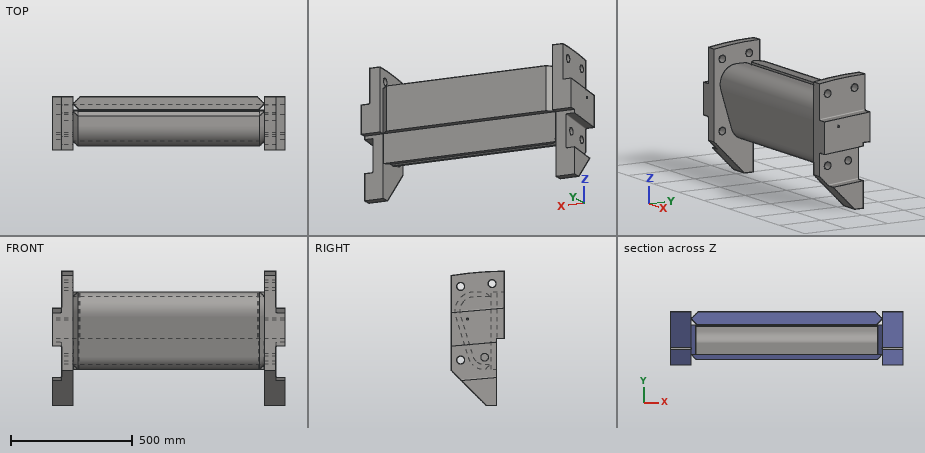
import cadquery as cq
import math


LENGTH = 959.0
DEPTH = 220.0
HEIGHT = 554.0
PLATE_THICKNESS = 85.0
PAD_HEIGHT = 38.0
FRONT_TOP_Z = 536.0
FRONT_BOTTOM_Z = 146.0
NOTCH_DEPTH = 32.0
NOTCH_Z = 276.0
TOP_ARCH_RADIUS = 1438.5
PAD_TILT = 5.0
UPPER_PAD_TOP_Z = 402.0
UPPER_PAD_BOTTOM_Z = 264.0
LOWER_PAD_TOP_Z = 119.0
PAD_FILLET = 5.0
BOLT_HOLE_DIAMETER = 32.0
BOLT_HOLES = [(-51.0, 502.5), (-180.0, 491.0), (-81.5, 199.0), (-180.0, 188.0)]
VENT_DIAMETER = 8.0
VENT_HOLE = (-152.0, 357.0)

SPAN = LENGTH - 2 * PLATE_THICKNESS
TOP_Z = 469.0
BOTTOM_Z = 149.0
BAR_REAR_BEVEL = 30.0
BAR_FRONT_BEVEL = 25.0
BAR_DEPTH = BAR_REAR_BEVEL + BAR_FRONT_BEVEL

SHELL_REAR_Y = -59.0
SHELL_THICKNESS = 20.0
UPPER_RADIUS = 80.0
UPPER_CENTRE_Y = -124.0
LOWER_RADIUS = 70.0
FACE_TILT = 17.0
RIB_THICKNESS = SHELL_THICKNESS


def plate_outline():
    """Side outline of an end plate, drawn in the YZ plane."""
    chord_y = -DEPTH / 2
    chord_z = (HEIGHT + FRONT_TOP_Z) / 2
    chord = math.hypot(DEPTH, HEIGHT - FRONT_TOP_Z)
    rise = TOP_ARCH_RADIUS - math.sqrt(TOP_ARCH_RADIUS**2 - (chord / 2) ** 2)
    return (
        cq.Workplane("YZ")
        .moveTo(0, HEIGHT)
        .threePointArc((chord_y, chord_z + rise), (-DEPTH, FRONT_TOP_Z))
        .lineTo(-DEPTH, FRONT_BOTTOM_Z)
        .lineTo(-DEPTH + FRONT_BOTTOM_Z, 0)
        .lineTo(-NOTCH_DEPTH, 0)
        .lineTo(-NOTCH_DEPTH, NOTCH_Z)
        .lineTo(0, NOTCH_Z)
        .close()
    )


def recess_cutter(bottom_z, top_z, filleted_edges):
    """Tilted block that lowers the outer face, with rounded inner edges along the pads."""
    block = (
        cq.Workplane("XY")
        .box(2 * PAD_HEIGHT, 4 * DEPTH, top_z - bottom_z)
        .edges(filleted_edges)
        .fillet(PAD_FILLET)
        .translate((0, 0, (top_z - bottom_z) / 2))
        .rotate((0, 0, 0), (1, 0, 0), PAD_TILT)
    )
    return block.translate((0, 0, bottom_z))


def make_left_plate():
    """End plate at -X, modelled with its outer face on X = 0 and then moved into place."""
    plate = plate_outline().extrude(PLATE_THICKNESS)
    plate = plate.cut(recess_cutter(UPPER_PAD_TOP_Z, 2 * HEIGHT, "|Y and >X and <Z"))
    plate = plate.cut(recess_cutter(LOWER_PAD_TOP_Z, UPPER_PAD_BOTTOM_Z, "|Y and >X"))
    bolt_holes = (
        cq.Workplane("YZ").pushPoints(BOLT_HOLES).circle(BOLT_HOLE_DIAMETER / 2).extrude(PLATE_THICKNESS)
    )
    vent = cq.Workplane("YZ").pushPoints([VENT_HOLE]).circle(VENT_DIAMETER / 2).extrude(PLATE_THICKNESS)
    return plate.cut(bolt_holes).cut(vent).translate((-LENGTH / 2, 0, 0))


def make_bar():
    """Rear bar with ends bevelled from both sides and a rebate level with the plate notches."""
    half = SPAN / 2
    bar = (
        cq.Workplane("XY", origin=(0, 0, BOTTOM_Z))
        .polyline([
            (-half, -BAR_REAR_BEVEL),
            (-half + BAR_REAR_BEVEL, 0),
            (half - BAR_REAR_BEVEL, 0),
            (half, -BAR_REAR_BEVEL),
            (half - BAR_FRONT_BEVEL, -BAR_DEPTH),
            (-half + BAR_FRONT_BEVEL, -BAR_DEPTH),
        ])
        .close()
        .extrude(TOP_Z - BOTTOM_Z)
    )
    rebate = cq.Workplane("XY").box(SPAN, NOTCH_DEPTH, NOTCH_Z, centered=(True, False, False))
    return bar.cut(rebate.translate((0, -NOTCH_DEPTH, 0)))


def bent_profile(inset, rear_y, length):
    """Prism of the D-shaped section from the left plate inwards, inset from the outer skin, flat at rear_y."""
    tilt = math.radians(FACE_TILT)
    upper_z = TOP_Z - UPPER_RADIUS
    lower_z = BOTTOM_Z + LOWER_RADIUS
    lower_y = UPPER_CENTRE_Y + (
        (upper_z - lower_z) * math.sin(tilt) - (UPPER_RADIUS - LOWER_RADIUS)
    ) / math.cos(tilt)

    def on_bend(centre_y, centre_z, radius, angle):
        reach = radius - inset
        return (centre_y - reach * math.cos(angle), centre_z - reach * math.sin(angle))

    def on_upper(angle):
        return on_bend(UPPER_CENTRE_Y, upper_z, UPPER_RADIUS, angle)

    def on_lower(angle):
        return on_bend(lower_y, lower_z, LOWER_RADIUS, angle)

    quarter = math.pi / 2
    return (
        cq.Workplane("YZ", origin=(-SPAN / 2, 0, 0))
        .moveTo(rear_y, TOP_Z - inset)
        .lineTo(*on_upper(-quarter))
        .threePointArc(on_upper((tilt - quarter) / 2), on_upper(tilt))
        .lineTo(*on_lower(tilt))
        .threePointArc(on_lower((tilt + quarter) / 2), on_lower(quarter))
        .lineTo(rear_y, BOTTOM_Z + inset)
        .close()
        .extrude(length)
    )


def make_shell():
    """Bent plate, open at the rear, with its outer skin bevelled along every border."""
    skin = bent_profile(0, SHELL_REAR_Y, SPAN)
    skin = skin.faces("<X or >X or >Y").edges("not |Z").chamfer(SHELL_THICKNESS)
    return skin.cut(bent_profile(SHELL_THICKNESS, SHELL_REAR_Y, SPAN))


def make_left_rib():
    """Rib that fills the shell at its -X end and reaches back to the bar."""
    return bent_profile(SHELL_THICKNESS, -BAR_DEPTH, RIB_THICKNESS)


bodies = [*make_bar().solids().vals(), *make_shell().solids().vals()]
for left_body in (make_left_plate(), make_left_rib()):
    right_body = left_body.mirror("YZ")
    bodies.extend(left_body.solids().vals())
    bodies.extend(right_body.solids().vals())

result = cq.Compound.makeCompound(bodies)